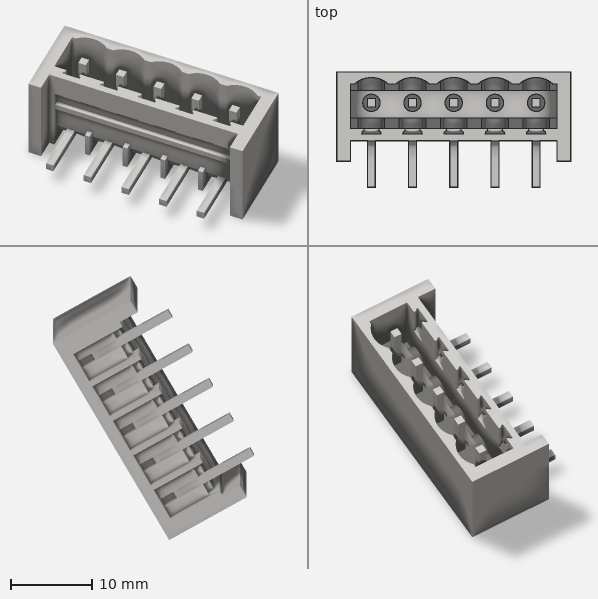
import cadquery as cq
import math


PIN_COUNT = 5
PITCH = 5.07
PIN_SIDE = 1.0
PIN_TIP_Z = 11.0
LEG_TOP_Z = 2.6
LEG_TIP_Y = -10.4

LENGTH = 28.8
HEIGHT = 12.0
BACK_Y = 3.8
FRONT_Y = -4.7
CHEEK_FRONT_Y = -7.2
CHEEK_THICKNESS = 1.7

CAVITY_BACK_Y = 2.3
CAVITY_FRONT_Y = -3.15
SCALLOP_RADIUS = 3.1

LEDGE_Z = 5.47
LEDGE_BACK_Y = 1.53
LEDGE_FRONT_Y = -1.87
TRENCH_Z = 3.45
HUMP_HALF_WIDTH = 1.65
HUMP_SLOPE = 58.0
HUMP_RADIUS = 1.47
PIN_RECESS_RADIUS = 1.07
PIN_RECESS_DEPTH = 0.58

KEYWAY_OUTER_Y = -3.85
KEYWAY_FLOOR_Z = 7.9
KEYWAY_NECK = 1.85
KEYWAY_WIDTH = 2.35
KEYWAY_LIP = 0.25
KEYWAY_EDGE = 0.23

RECESS_HALF_LENGTH = 12.0
RECESS_TOP_Z = 8.93
PANEL_Y = KEYWAY_OUTER_Y
PANEL_BOTTOM_Z = 2.6
RIDGE_FRONT_Y = -4.44
RIDGE_BOTTOM_Z = 6.0
RIDGE_TOP_Z = 6.77
RIB_WIDTH = 0.63
RIB_TOP_Z = 3.28
RIB_FRONT_Y = -4.67

ARCH_TOP_Z = 1.4
ARCH_RADIUS = 12.95
POCKET_RIGHT_X = 12.15

HALF_LENGTH = LENGTH / 2
CAVITY_HALF_LENGTH = HALF_LENGTH - CHEEK_THICKNESS
PIN_HALF = PIN_SIDE / 2
LEG_BOTTOM_Z = LEG_TOP_Z - PIN_SIDE
PIN_XS = [(i - (PIN_COUNT - 1) / 2) * PITCH for i in range(PIN_COUNT)]
RIB_XS = [x + PITCH / 2 for x in PIN_XS[:-1]]


def block(x_range, y_range, z_range):
    """Axis-aligned box between two limits on each axis."""
    sizes = [high - low for low, high in (x_range, y_range, z_range)]
    corner = (x_range[0], y_range[0], z_range[0])
    return cq.Workplane("XY").box(*sizes, centered=False).translate(corner)


def span(center, width):
    """Limits of a width centred on a position."""
    return (center - width / 2, center + width / 2)


def symmetric(half):
    """Limits of a width centred on zero."""
    return (-half, half)


def make_shell():
    """Main block with a cheek at each end that reaches further forward."""
    body = block(symmetric(HALF_LENGTH), (CHEEK_FRONT_Y, BACK_Y), (0, HEIGHT))
    gap = block(symmetric(CAVITY_HALF_LENGTH), (CHEEK_FRONT_Y, FRONT_Y), (0, HEIGHT))
    return body.cut(gap)


def make_cavity():
    """Rectangular cavity with a round scallop around each pin, down to the trench floor."""
    y_range = (CAVITY_FRONT_Y, CAVITY_BACK_Y)
    z_range = (TRENCH_Z, HEIGHT)
    cavity = block(symmetric(CAVITY_HALF_LENGTH), y_range, z_range)
    rear_half = block(symmetric(CAVITY_HALF_LENGTH), (0, BACK_Y), z_range)
    for x in PIN_XS:
        round_bore = cq.Workplane("XY", origin=(x, 0, TRENCH_Z)).circle(SCALLOP_RADIUS)
        round_bore = round_bore.extrude(HEIGHT - TRENCH_Z)
        cavity = cavity.union(round_bore.intersect(rear_half))
    return cavity


def make_hump(x):
    """Rounded hump across the trenches: an arc with a tangent slope on each side."""
    slope = math.radians(HUMP_SLOPE)
    arc_half = HUMP_RADIUS * math.sin(slope)
    arc_end_z = TRENCH_Z + (HUMP_HALF_WIDTH - arc_half) * math.tan(slope)
    top_z = arc_end_z + HUMP_RADIUS * (1 - math.cos(slope))
    return (
        cq.Workplane("XZ", origin=(x, BACK_Y, 0))
        .moveTo(-HUMP_HALF_WIDTH, TRENCH_Z)
        .lineTo(-arc_half, arc_end_z)
        .threePointArc((0, top_z), (arc_half, arc_end_z))
        .lineTo(HUMP_HALF_WIDTH, TRENCH_Z)
        .close()
        .extrude(BACK_Y - CAVITY_FRONT_Y)
    )


def make_ledge():
    """Raised centre strip of the cavity floor, and the shallow round recesses to cut from it."""
    y_range = (LEDGE_FRONT_Y, LEDGE_BACK_Y)
    ledge = block(symmetric(CAVITY_HALF_LENGTH), y_range, (TRENCH_Z, LEDGE_Z))
    recesses = (
        cq.Workplane("XY")
        .workplane(offset=LEDGE_Z)
        .pushPoints([(x, 0) for x in PIN_XS])
        .circle(PIN_RECESS_RADIUS)
        .extrude(-PIN_RECESS_DEPTH)
    )
    return ledge, recesses


def make_keyway(x):
    """Dovetail keyway, narrow where it opens into the cavity."""
    neck = KEYWAY_NECK / 2
    wide = KEYWAY_WIDTH / 2
    right_side = [
        (neck, CAVITY_FRONT_Y),
        (neck, CAVITY_FRONT_Y - KEYWAY_LIP),
        (wide, KEYWAY_OUTER_Y + KEYWAY_EDGE),
        (wide, KEYWAY_OUTER_Y),
    ]
    left_side = [(-px, py) for px, py in reversed(right_side)]
    return (
        cq.Workplane("XY", origin=(x, 0, KEYWAY_FLOOR_Z))
        .polyline(right_side + left_side)
        .close()
        .extrude(HEIGHT - KEYWAY_FLOOR_Z)
    )


def make_front_recess():
    """Recess in the front face, deeper below the bottom edge of the panel."""
    x_range = symmetric(RECESS_HALF_LENGTH)
    upper = block(x_range, (FRONT_Y, PANEL_Y), (0, RECESS_TOP_Z))
    lower = block(x_range, (PANEL_Y, CAVITY_FRONT_Y), (0, PANEL_BOTTOM_Z))
    return upper.union(lower)


def make_ridge():
    """Long ridge across the panel."""
    z_range = (RIDGE_BOTTOM_Z, RIDGE_TOP_Z)
    return block(symmetric(RECESS_HALF_LENGTH), (RIDGE_FRONT_Y, PANEL_Y), z_range)


def make_rib(x):
    """Upright rib between two neighbouring legs, reaching back through the underside pocket."""
    return block(span(x, RIB_WIDTH), (RIB_FRONT_Y, CAVITY_BACK_Y), (0, RIB_TOP_Z))


def make_underside_pocket():
    """Pocket open below and through the front face, with one shallow arch of ceiling per pin."""
    half = PITCH / 2
    drop = ARCH_RADIUS - math.sqrt(ARCH_RADIUS**2 - half**2)
    outline = cq.Workplane("XZ", origin=(0, CAVITY_BACK_Y, 0)).moveTo(PIN_XS[0] - half, 0)
    outline = outline.lineTo(PIN_XS[0] - half, ARCH_TOP_Z - drop)
    for x in PIN_XS:
        outline = outline.threePointArc((x, ARCH_TOP_Z), (x + half, ARCH_TOP_Z - drop))
    arches = outline.lineTo(PIN_XS[-1] + half, 0).close().extrude(CAVITY_BACK_Y - FRONT_Y)
    limits = block((-RECESS_HALF_LENGTH, POCKET_RIGHT_X), (FRONT_Y, CAVITY_BACK_Y), (0, ARCH_TOP_Z))
    return arches.intersect(limits)


def make_pin_slot(x):
    """Square bore for the upright part and a slot, open below, for the leg."""
    bore = block(span(x, PIN_SIDE), symmetric(PIN_HALF), (0, HEIGHT))
    slot = block(span(x, PIN_SIDE), (CAVITY_FRONT_Y, CAVITY_BACK_Y), (0, LEG_TOP_Z))
    return bore.union(slot)


def make_housing():
    """Shroud with cavity, keyways, front recess, ribs and pin slots."""
    ledge, pin_recesses = make_ledge()
    body = make_shell().cut(make_cavity())
    for x in PIN_XS:
        body = body.union(make_hump(x))
    body = body.union(ledge).cut(pin_recesses)
    body = body.cut(make_front_recess()).cut(make_underside_pocket())
    body = body.union(make_ridge())
    for x in RIB_XS:
        body = body.union(make_rib(x))
    for x in PIN_XS:
        body = body.cut(make_keyway(x)).cut(make_pin_slot(x))
    return body.solids()


def make_pin(x):
    """Square pin bent at a right angle: upright contact and forward leg."""
    upright = block(span(x, PIN_SIDE), symmetric(PIN_HALF), (LEG_BOTTOM_Z, PIN_TIP_Z))
    leg = block(span(x, PIN_SIDE), (LEG_TIP_Y, PIN_HALF), (LEG_BOTTOM_Z, LEG_TOP_Z))
    return upright.union(leg).solids()


housing = make_housing()
pins = [make_pin(x) for x in PIN_XS]

result = cq.Compound.makeCompound([housing.val(), *[pin.val() for pin in pins]])